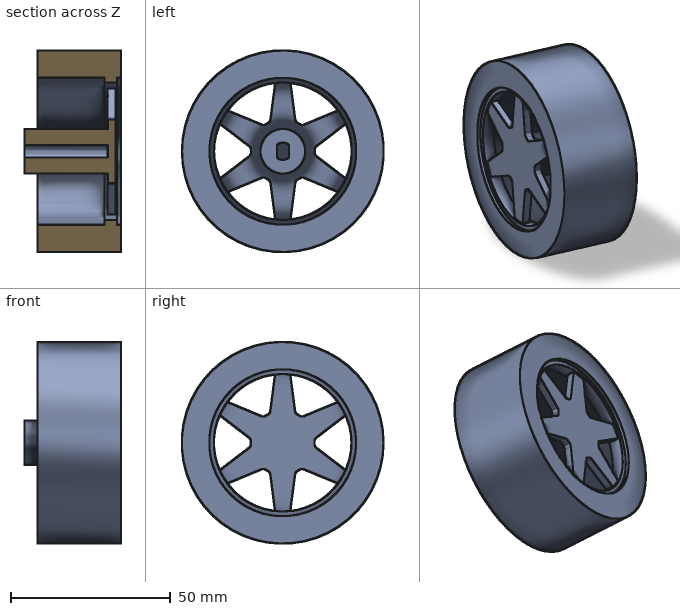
import cadquery as cq

rim_diameter = 63.2
rim_width = 26.2
cavity_diameter = 46.0

opening_diameter = 43.0
lip_thickness = 4.0
lip_recess = 1.2

web_setback = 1.0
web_thickness = 2.5
web_hub_diameter = 20.0
spoke_count = 6
spoke_root_width = 7.8
spoke_tip_width = 4.8
window_fillet = 1.4

hub_diameter = 14.0
hub_overhang = 4.0
bore_diameter = 5.4
bore_flat_width = 3.8

lip_back = rim_width - lip_recess
lip_face = lip_back - lip_thickness
web_face = lip_face + web_setback
web_back = web_face + web_thickness
hub_face = -hub_overhang


def cylinder(diameter, start, end):
    """Solid cylinder on the X axis between two X positions."""
    return cq.Workplane("YZ", origin=(start, 0, 0)).circle(diameter / 2).extrude(end - start)


def make_rim():
    """Thick tyre ring with a narrower lip, recessed on both sides of the lip."""
    rim = cylinder(rim_diameter, 0, rim_width)
    rim = rim.cut(cylinder(cavity_diameter, 0, lip_face))
    rim = rim.cut(cylinder(opening_diameter, lip_face, lip_back))
    return rim.cut(cylinder(cavity_diameter, lip_back, rim_width))


def make_spoke():
    """Tapered spoke pointing along +Z, starting on the axis and ending inside the lip."""
    root_radius = web_hub_diameter / 2
    tip_radius = opening_diameter / 2
    end_radius = (opening_diameter + cavity_diameter) / 4
    taper = (spoke_root_width - spoke_tip_width) / (tip_radius - root_radius)
    half_start = (spoke_root_width + taper * root_radius) / 2
    half_end = (spoke_tip_width - taper * (end_radius - tip_radius)) / 2
    outline = [
        (-half_start, 0),
        (half_start, 0),
        (half_end, end_radius),
        (-half_end, end_radius),
    ]
    return cq.Workplane("YZ", origin=(web_face, 0, 0)).polyline(outline).close().extrude(web_thickness)


def make_web():
    """Central disc with equally spaced spokes and rounded window corners."""
    web = cylinder(web_hub_diameter, web_face, web_back)
    spoke = make_spoke()
    for index in range(spoke_count):
        angle = index * 360 / spoke_count
        web = web.union(spoke.rotate((0, 0, 0), (1, 0, 0), angle))
    reach = web_hub_diameter / 2 + window_fillet
    root_corners = cq.selectors.BoxSelector((lip_face, -reach, -reach), (lip_back, reach, reach))
    return web.edges("|X").edges(root_corners).fillet(window_fillet)


def make_bore():
    """Round bore with flats facing +Y and -Y, stopping at the web."""
    depth = web_face - hub_face
    bore = cylinder(bore_diameter, hub_face, web_face)
    flats = cq.Workplane("YZ", origin=(hub_face, 0, 0)).rect(bore_flat_width, bore_diameter).extrude(depth)
    return bore.intersect(flats)


hub = cylinder(hub_diameter, hub_face, web_back)
result = make_rim().union(make_web()).union(hub).cut(make_bore())